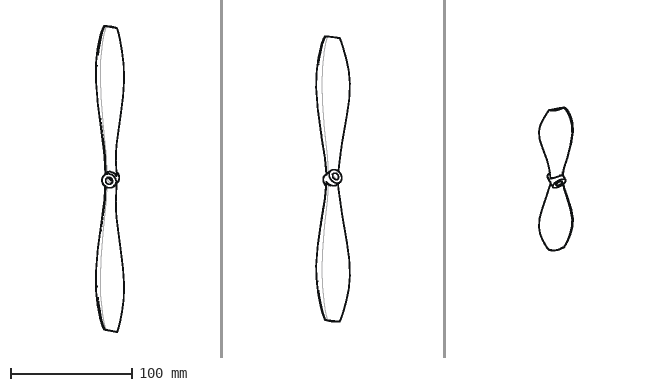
import cadquery as cq

hub_radius = 6.0
bore_radius = 3.0
hub_length = 10.0

blade_stations = [
    (0, -4.8, 5.0, 1.5, -1.5),
    (12.7, -5.5, 5.3, 2.0, -1.8),
    (25.3, -6.9, 5.8, 3.2, -4.0),
    (44.5, -9.8, 8.2, 4.0, -5.0),
    (63.5, -12.1, 11.0, 4.2, -6.0),
    (84.5, -13.7, 13.2, 4.2, -6.0),
    (102.0, -13.2, 12.7, 3.2, -5.0),
    (116.2, -11.0, 10.3, 2.6, -3.5),
    (127.2, -8.2, 7.7, 2.0, -2.0),
    (132.0, -6.0, 6.0, 2.0, -1.5),
]

nose = (0, 0.93)
back_corner = (0.05, 1)
back_curve = [(0.5, 0.88), (0.77, 0.58)]
trailing_edge = (1, 0)
underside_middle = (0.55, 0.4)
crease = (0.16, 0.74)


def blade_section(height, lead_x, trail_x, back_y, front_y):
    """Cambered airfoil wire with a flat nose facet ending at the crease."""

    def place(point):
        along, across = point
        x = lead_x + along * (trail_x - lead_x)
        y = front_y + across * (back_y - front_y)
        return cq.Vector(x, y, height)

    back_points = [place(p) for p in [back_corner, *back_curve, trailing_edge]]
    return cq.Wire.assembleEdges([
        cq.Edge.makeLine(place(nose), place(back_corner)),
        cq.Edge.makeSpline(back_points),
        cq.Edge.makeThreePointArc(place(trailing_edge), place(underside_middle), place(crease)),
        cq.Edge.makeLine(place(crease), place(nose)),
    ])


def make_blade():
    """Upper blade, lofted smoothly from the hub axis to its flat tip."""
    sections = [blade_section(*station) for station in blade_stations]
    return cq.Workplane(obj=cq.Solid.makeLoft(sections))


def hub_cylinder(radius):
    return cq.Workplane("XZ").circle(radius).extrude(hub_length / 2, both=True)


upper_blade = make_blade()
lower_blade = upper_blade.mirror("XY")
hub = hub_cylinder(hub_radius)
bore = hub_cylinder(bore_radius)

result = hub.union(upper_blade).union(lower_blade).cut(bore)